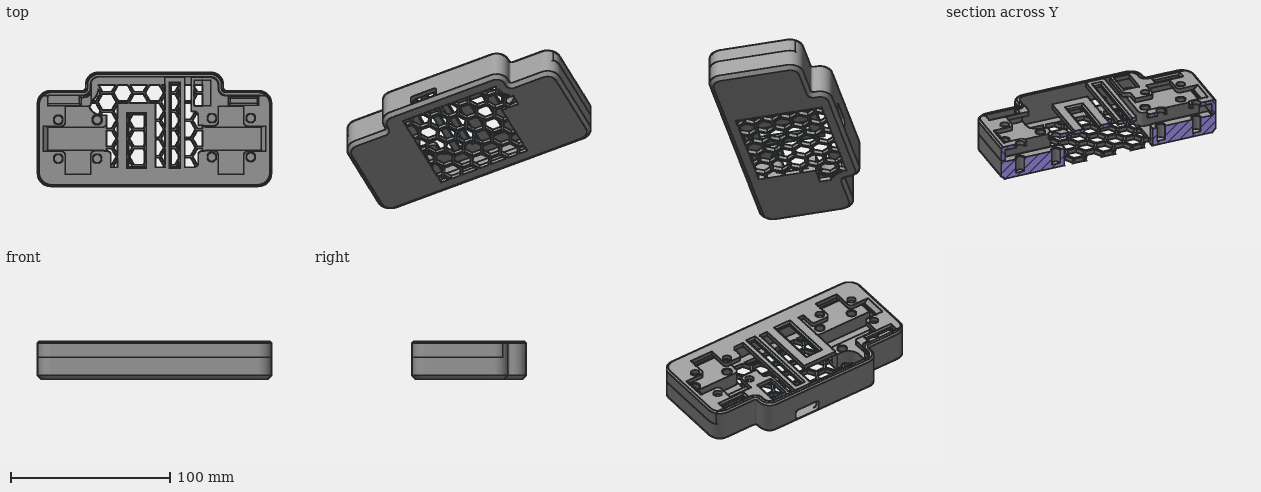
import cadquery as cq
import math

CASE_LENGTH = 147.2
CASE_DEPTH = 71.8
CASE_HEIGHT = 24.0
HALF_LENGTH = CASE_LENGTH / 2
FRONT_Y = -CASE_DEPTH / 2
HUMP_Y = CASE_DEPTH / 2
HUMP_HALF_LENGTH = 43.3
SHOULDER_Y = 24.5
CASE_RADIUS = 8.5
HUMP_RADIUS = 8.0
SHOULDER_RADIUS = 1.6
TOP_CHAMFER = 1.2
BOTTOM_CHAMFER = 2.5

WALL = 3.0
FLOOR = 3.0
LID_PLATE = 3.0
JOINT_Z = 14.0
JOINT_Y = 21.2
LID_CLEARANCE = 0.3
LID_UNDERSIDE_Z = CASE_HEIGHT - LID_PLATE
BEYOND = CASE_LENGTH

SHELF_Z = 13.0
SHELF_END_X = 30.0
SHELF_CORNER_RADIUS = 3.0
CHANNEL_REAR_Y = 1.3
CHANNEL_FRONT_Y = -13.1
LEFT_SHELF_STEP_X = -41.4
LEFT_SHELF_STEP_Y = 9.0
LEFT_SHELF_STEP_RADIUS = 8.0

HOLE_DIAMETER = 5.5
HOLE_MOUTH_CHAMFER = 0.5
HOLE_SPACING = 24.5
HOLE_INNER_X = 36.0
LEFT_HOLE_REAR_Y = 6.0
RIGHT_HOLE_REAR_Y = 7.0

HEX_FLATS = 10.0
HEX_RIB = 1.5
HEX_PITCH = HEX_FLATS + HEX_RIB
HEX_COLUMN_PITCH = HEX_PITCH * math.cos(math.radians(30))
HEX_CORNER_DIAMETER = HEX_FLATS / math.cos(math.radians(30))
HEX_COLUMNS = 4
HEX_ROWS = 3
HEX_FIELD_INSET = 8.1

CONNECTOR_X = (3.0, 20.8)
CONNECTOR_HEIGHT = 7.0
CONNECTOR_RADIUS = 2.0

ARM_INNER_X = 40.0
ARM_OUTER_X = 56.1
ARM_REAR_Y = 14.5
ARM_FRONT_Y = -28.3
CROSS_END_X = 69.9
CROSS_REAR_Y = 2.0
CROSS_FRONT_Y = -13.8
LUG_X = 27.4
LUG_REAR_Y = 2.4
LUG_FRONT_Y = -13.5
LUG_STEP_Y = 11.2
WINDOW_FRONT_Y = -23.7
TAB_X = -39.9
SHORT_TONGUE = (-23.4, 0.7)
SHORT_TONGUE_Y = 16.6
LONG_TONGUE = (6.5, 19.1)
RIGHT_PLATE_X = 23.0
RIGHT_PLATE_RADIUS = 1.0
OPENING_RADIUS = 2.5
TAB_RADIUS = 1.8
SLOT_CHAMFER = 1.2
CROSS_END_CHAMFER = 2.8

SHORT_TONGUE_SLOT = (-17.5, -24.6, -5.2, 10.5)
LONG_TONGUE_SLOT = (9.3, -24.6, 16.2, 29.6)
RIGHT_POCKET = (46.5, 15.2, 65.7, 20.9)
LEFT_POCKET = (-67.3, 14.9, -46.1, JOINT_Y + LID_CLEARANCE)
PLAIN_WINDOW = (24.9, 14.7, 35.5, 30.8)


def toward(start, end, distance):
    """Point at a distance from start on the way to end."""
    share = distance / math.dist(start, end)
    return tuple(s + (e - s) * share for s, e in zip(start, end))


def rounded_outline(corners, z):
    """Closed outline at height z from (x, y, radius) corners; a radius of 0 leaves the corner sharp."""
    entries, middles, departures = [], [], []
    for i, (x, y, radius) in enumerate(corners):
        corner = (x, y)
        before = corners[i - 1][:2]
        after = corners[(i + 1) % len(corners)][:2]
        turn = math.atan2(before[1] - y, before[0] - x) - math.atan2(after[1] - y, after[0] - x)
        half_angle = math.acos(math.cos(turn)) / 2
        setback = radius / math.tan(half_angle)
        entry = toward(corner, before, setback)
        departure = toward(corner, after, setback)
        chord_middle = tuple((a + b) / 2 for a, b in zip(entry, departure))
        entries.append(entry)
        departures.append(departure)
        arc_depth = radius / math.sin(half_angle) - radius
        middles.append(toward(corner, chord_middle, arc_depth) if radius else corner)

    outline = cq.Workplane("XY", origin=(0, 0, z)).moveTo(*departures[-1])
    for i, (entry, middle, departure) in enumerate(zip(entries, middles, departures)):
        outline = outline.lineTo(*entry)
        if corners[i][2]:
            outline = outline.threePointArc(middle, departure)
    return outline.close()


def block(x0, y0, x1, y1, z0, z1):
    """Box between two opposite corners."""
    return cq.Workplane("XY", origin=(x0, y0, z0)).box(x1 - x0, y1 - y0, z1 - z0, centered=False)


def case_outline(z):
    right_half = [
        (HALF_LENGTH, FRONT_Y, CASE_RADIUS),
        (HALF_LENGTH, SHOULDER_Y, CASE_RADIUS),
        (HUMP_HALF_LENGTH, SHOULDER_Y, SHOULDER_RADIUS),
        (HUMP_HALF_LENGTH, HUMP_Y, HUMP_RADIUS),
    ]
    left_half = [(-x, y, radius) for x, y, radius in reversed(right_half)]
    return rounded_outline(right_half + left_half, z)


def case_envelope():
    """Outer shape of the closed case, with both edge chamfers."""
    body = case_outline(0).extrude(CASE_HEIGHT)
    body = body.faces(">Z").edges().chamfer(TOP_CHAMFER)
    return body.faces("<Z").edges().chamfer(BOTTOM_CHAMFER)


def case_interior(inset, z0, z1):
    """Space inside the outline at a constant inset."""
    return case_outline(z0).offset2D(-inset).extrude(z1 - z0)


def screw_hole_places():
    columns_and_rear_rows = (
        (-HOLE_INNER_X, LEFT_HOLE_REAR_Y),
        (-HOLE_INNER_X - HOLE_SPACING, LEFT_HOLE_REAR_Y),
        (HOLE_INNER_X, RIGHT_HOLE_REAR_Y),
        (HOLE_INNER_X + HOLE_SPACING, RIGHT_HOLE_REAR_Y),
    )
    return [(x, rear_y - row * HOLE_SPACING) for x, rear_y in columns_and_rear_rows for row in (0, 1)]


def honeycomb():
    """Hexagonal prisms through the floor, trimmed to the open part of the floor."""
    centers = []
    for column in range(-HEX_COLUMNS, HEX_COLUMNS + 1):
        shift = HEX_PITCH / 2 if column % 2 else 0
        for row in range(-HEX_ROWS, HEX_ROWS + 1):
            centers.append((column * HEX_COLUMN_PITCH, row * HEX_PITCH + shift))
    cells = cq.Workplane("XY").pushPoints(centers).polygon(6, HEX_CORNER_DIAMETER).extrude(FLOOR)

    field = block(-SHELF_END_X, -BEYOND, SHELF_END_X, BEYOND, 0, FLOOR)
    field = field.union(block(LEFT_SHELF_STEP_X, LEFT_SHELF_STEP_Y, 0, BEYOND, 0, FLOOR))
    field = field.intersect(case_interior(HEX_FIELD_INSET, 0, FLOOR))
    return cells.intersect(field)


def shelves():
    """Four raised blocks, with a channel between the front and rear block of each side."""
    height = SHELF_Z - FLOOR
    rounded_end = SHELF_CORNER_RADIUS
    rear_right = [
        (BEYOND, CHANNEL_REAR_Y, 0),
        (BEYOND, BEYOND, 0),
        (SHELF_END_X, BEYOND, 0),
        (SHELF_END_X, CHANNEL_REAR_Y, rounded_end),
    ]
    rear_left = [
        (-BEYOND, CHANNEL_REAR_Y, 0),
        (-SHELF_END_X, CHANNEL_REAR_Y, rounded_end),
        (-SHELF_END_X, LEFT_SHELF_STEP_Y, 0),
        (LEFT_SHELF_STEP_X, LEFT_SHELF_STEP_Y, LEFT_SHELF_STEP_RADIUS),
        (LEFT_SHELF_STEP_X, BEYOND, 0),
        (-BEYOND, BEYOND, 0),
    ]
    front_right = [
        (BEYOND, CHANNEL_FRONT_Y, 0),
        (SHELF_END_X, CHANNEL_FRONT_Y, rounded_end),
        (SHELF_END_X, -BEYOND, 0),
        (BEYOND, -BEYOND, 0),
    ]
    front_left = [(-x, y, radius) for x, y, radius in reversed(front_right)]

    blocks = rounded_outline(rear_right, FLOOR).extrude(height)
    for corners in (rear_left, front_right, front_left):
        blocks = blocks.union(rounded_outline(corners, FLOOR).extrude(height))
    blocks = blocks.intersect(case_interior(WALL, FLOOR, SHELF_Z))

    holes = cq.Workplane("XY", origin=(0, 0, FLOOR)).pushPoints(screw_hole_places())
    holes = holes.circle(HOLE_DIAMETER / 2).extrude(height)
    mouths = cq.Workplane("XY", origin=(0, 0, SHELF_Z)).pushPoints(screw_hole_places())
    mouths = mouths.circle(HOLE_DIAMETER / 2 + HOLE_MOUTH_CHAMFER).extrude(-HOLE_MOUTH_CHAMFER, taper=45)
    return blocks.cut(holes).cut(mouths)


def connector_slot():
    left, right = CONNECTOR_X
    slot = block(left, HUMP_Y - 2 * WALL, right, BEYOND, FLOOR, FLOOR + CONNECTOR_HEIGHT)
    return slot.edges("|Y").fillet(CONNECTOR_RADIUS)


def make_base():
    lid_space = block(-BEYOND, -BEYOND, BEYOND, JOINT_Y, JOINT_Z, CASE_HEIGHT)
    base = case_envelope().cut(lid_space)
    base = base.cut(case_interior(WALL, FLOOR, CASE_HEIGHT)).cut(connector_slot())
    return base.cut(honeycomb()).union(shelves())


def lid_blank():
    """Top plate with a skirt along the joint; behind the joint plane it fits inside the base wall."""
    front = block(-BEYOND, -BEYOND, BEYOND, JOINT_Y, JOINT_Z, CASE_HEIGHT)
    skirted = case_envelope().intersect(front).cut(case_interior(WALL, JOINT_Z, LID_UNDERSIDE_Z))
    hump_plate = case_interior(WALL + LID_CLEARANCE, LID_UNDERSIDE_Z, CASE_HEIGHT)
    return skirted.union(hump_plate)


def lid_openings():
    r = OPENING_RADIUS
    end_x = CROSS_END_X - CROSS_END_CHAMFER
    left = [
        (TAB_X, BEYOND, 0),
        (TAB_X, ARM_REAR_Y, TAB_RADIUS),
        (-ARM_OUTER_X, ARM_REAR_Y, 0),
        (-ARM_OUTER_X, CROSS_REAR_Y, r),
        (-end_x, CROSS_REAR_Y, 0),
        (-end_x, CROSS_FRONT_Y, 0),
        (-ARM_OUTER_X, CROSS_FRONT_Y, r),
        (-ARM_OUTER_X, ARM_FRONT_Y, 0),
        (-ARM_INNER_X, ARM_FRONT_Y, 0),
        (-ARM_INNER_X, LUG_FRONT_Y, r),
        (-LUG_X, LUG_FRONT_Y, r),
        (-LUG_X, WINDOW_FRONT_Y, 0),
        (SHORT_TONGUE[0], WINDOW_FRONT_Y, 0),
        (SHORT_TONGUE[0], SHORT_TONGUE_Y, 0),
        (SHORT_TONGUE[1], SHORT_TONGUE_Y, 0),
        (SHORT_TONGUE[1], WINDOW_FRONT_Y, 0),
        (LONG_TONGUE[0], WINDOW_FRONT_Y, 0),
        (LONG_TONGUE[0], BEYOND, 0),
    ]
    right = [
        (LONG_TONGUE[1], BEYOND, 0),
        (LONG_TONGUE[1], WINDOW_FRONT_Y, 0),
        (LUG_X, WINDOW_FRONT_Y, r),
        (LUG_X, LUG_FRONT_Y, r),
        (ARM_INNER_X, LUG_FRONT_Y, r),
        (ARM_INNER_X, ARM_FRONT_Y, 0),
        (ARM_OUTER_X, ARM_FRONT_Y, 0),
        (ARM_OUTER_X, CROSS_FRONT_Y, r),
        (end_x, CROSS_FRONT_Y, 0),
        (end_x, CROSS_REAR_Y, 0),
        (ARM_OUTER_X, CROSS_REAR_Y, r),
        (ARM_OUTER_X, ARM_REAR_Y, 0),
        (ARM_INNER_X, ARM_REAR_Y, 0),
        (ARM_INNER_X, LUG_REAR_Y, r),
        (LUG_X, LUG_REAR_Y, 0),
        (LUG_X, LUG_STEP_Y, r),
        (RIGHT_PLATE_X, LUG_STEP_Y, RIGHT_PLATE_RADIUS),
        (RIGHT_PLATE_X, BEYOND, 0),
    ]
    openings = rounded_outline(left, LID_UNDERSIDE_Z).extrude(LID_PLATE)
    return openings.union(rounded_outline(right, LID_UNDERSIDE_Z).extrude(LID_PLATE))


def cross_end_chamfers():
    """Large chamfers along the outer ends of both cross openings."""
    foot_x = CROSS_END_X - CROSS_END_CHAMFER
    profile = [(foot_x, CASE_HEIGHT - CROSS_END_CHAMFER), (CROSS_END_X, CASE_HEIGHT), (foot_x, CASE_HEIGHT)]
    right = cq.Workplane("XZ", origin=(0, CROSS_REAR_Y, 0)).polyline(profile).close()
    right = right.extrude(CROSS_REAR_Y - CROSS_FRONT_Y)
    return right.union(right.mirror("YZ"))


def tab_bevel():
    """Waste above the beveled rear edge of the tab beside the left pocket."""
    bevel_z = CASE_HEIGHT - SLOT_CHAMFER
    beveled = case_interior(WALL + LID_CLEARANCE, LID_UNDERSIDE_Z, CASE_HEIGHT)
    beveled = beveled.faces(">Z").edges().chamfer(SLOT_CHAMFER)
    pocket_right = LEFT_POCKET[2] - SLOT_CHAMFER
    return block(pocket_right, ARM_REAR_Y, TAB_X, HUMP_Y, bevel_z, CASE_HEIGHT).cut(beveled)


def rectangle_wire(rectangle, z):
    left, front, right, rear = rectangle
    corners = [(left, front, z), (right, front, z), (right, rear, z), (left, rear, z)]
    return cq.Wire.makePolygon([cq.Vector(*corner) for corner in corners], close=True)


def chamfered_slot(mouth, left=1, front=1, right=1, rear=1):
    """Slot through the plate, narrowing below its mouth; a side given as 0 stays plain."""
    signs = (left, front, -right, -rear)
    neck = tuple(edge + sign * SLOT_CHAMFER for edge, sign in zip(mouth, signs))
    neck_z = CASE_HEIGHT - SLOT_CHAMFER
    funnel = cq.Solid.makeLoft([rectangle_wire(neck, neck_z), rectangle_wire(mouth, CASE_HEIGHT)], True)
    return block(*neck, LID_UNDERSIDE_Z, neck_z).union(cq.Workplane(funnel))


def make_lid():
    lid = lid_blank().cut(lid_openings()).cut(cross_end_chamfers()).cut(tab_bevel())
    for mouth in (SHORT_TONGUE_SLOT, LONG_TONGUE_SLOT, RIGHT_POCKET):
        lid = lid.cut(chamfered_slot(mouth))
    lid = lid.cut(chamfered_slot(LEFT_POCKET, left=0, rear=0))
    lid = lid.cut(block(*PLAIN_WINDOW, LID_UNDERSIDE_Z, CASE_HEIGHT))
    holes = cq.Workplane("XY", origin=(0, 0, LID_UNDERSIDE_Z)).pushPoints(screw_hole_places())
    return lid.cut(holes.circle(HOLE_DIAMETER / 2).extrude(LID_PLATE))


base = make_base()
lid = make_lid()
result = cq.Compound.makeCompound([base.val(), lid.val()])